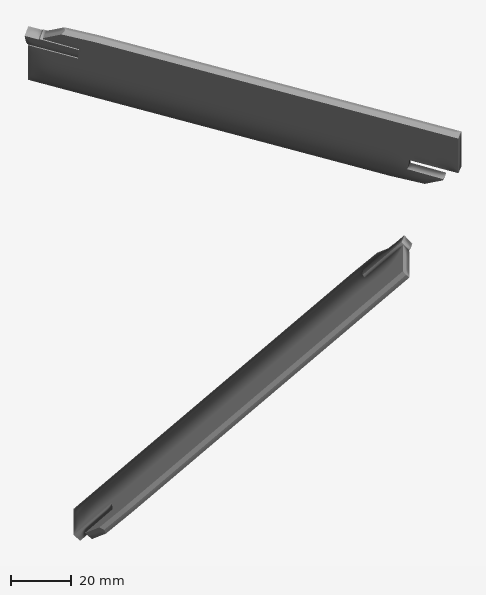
import cadquery as cq

thickness = 3.2
height = 31.1
blade_start = 1.0
blade_end = 151.0
ridge_height = 0.5
clamp_tip_x = 6.3
clamp_tip_z = 25.4
crest_x = 13.5
crest_drop = 0.6
top_slope_end = 24.6
blend_length = 1.4

insert_width = 4.0
lean_angle = 7.0
seat_floor = 19.3
lean_axis_z = 22.0
nose_top = 24.3
nose_relief_x = 0.3
nose_relief_z = 20.5
nose_foot_x = 0.8
step_start = 4.8
step_end = 5.3
insert_top = 24.8
insert_rear_top_z = 24.5
insert_rear_top_x = 18.9
insert_rear_foot_x = 18.4
seat_overrun = 4.5

center_x = (blade_start + blade_end) / 2
center_z = height / 2


def half_turn(point):
    """Turn an XZ point half a turn about the blade centre."""
    return 2 * center_x - point[0], 2 * center_z - point[1]


def blade_wire(y, edge_drop):
    """Blade outline at depth y, with its long edges moved inward by edge_drop."""
    jaw_slope = (height - crest_drop - clamp_tip_z) / (crest_x - clamp_tip_x)
    top_slope = crest_drop / (top_slope_end - crest_x)
    top = height - edge_drop
    crest_shift = edge_drop / (jaw_slope - top_slope)
    crest = (crest_x - crest_shift, top - crest_drop - crest_shift * top_slope)
    blend_start = (top_slope_end - blend_length, top - blend_length * top_slope)
    blend_middle = (top_slope_end, top - blend_length * top_slope / 4)
    blend_end = (top_slope_end + blend_length, top)
    far_corner = (blade_end, top)
    jaw_back = (clamp_tip_x, lean_axis_z)
    jaw_tip = (clamp_tip_x, clamp_tip_z)
    seat_front = (blade_start, lean_axis_z)

    outline = cq.Workplane("XZ", origin=(0, y, 0)).moveTo(*seat_front)
    outline = outline.lineTo(*jaw_back).lineTo(*jaw_tip).lineTo(*crest).lineTo(*blend_start)
    outline = outline.threePointArc(blend_middle, blend_end).lineTo(*far_corner)
    for point in (seat_front, jaw_back, jaw_tip, crest, blend_start):
        outline = outline.lineTo(*half_turn(point))
    outline = outline.threePointArc(half_turn(blend_middle), half_turn(blend_end))
    outline = outline.lineTo(*half_turn(far_corner)).close()
    return outline.val()


def leaning_prism(points, y_start, y_end):
    """Extrude an XZ outline through Y and lean it about the seat axis."""
    prism = cq.Workplane("XZ", origin=(0, y_start, 0)).polyline(points).close()
    prism = prism.extrude(y_start - y_end)
    return prism.rotate((0, 0, lean_axis_z), (1, 0, lean_axis_z), lean_angle)


def make_insert():
    points = [
        (0, nose_top),
        (step_start, nose_top),
        (step_end, insert_top),
        (insert_rear_top_x, insert_rear_top_z),
        (insert_rear_foot_x, seat_floor),
        (nose_foot_x, seat_floor),
        (nose_relief_x, nose_relief_z),
    ]
    return leaning_prism(points, 0, insert_width)


def make_seat_cutter():
    points = [
        (-seat_overrun, insert_top),
        (step_end, insert_top),
        (insert_rear_top_x, insert_rear_top_z),
        (insert_rear_foot_x, seat_floor),
        (-seat_overrun, seat_floor),
    ]
    return leaning_prism(points, -seat_overrun, thickness + seat_overrun)


def make_blade():
    wires = [
        blade_wire(0, ridge_height),
        blade_wire(thickness / 2, 0),
        blade_wire(thickness, ridge_height),
    ]
    blade = cq.Workplane(cq.Solid.makeLoft(wires, True))
    seat = make_seat_cutter()
    spare_seat = seat.rotate((center_x, 0, center_z), (center_x, 1, center_z), 180)
    return blade.cut(seat).cut(spare_seat)


insert = make_insert()
blade = make_blade()
result = cq.Compound.makeCompound([blade.solids().val(), insert.val()])